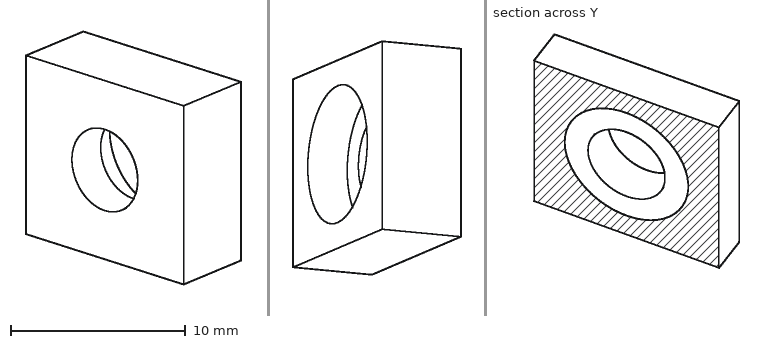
import cadquery as cq

width = 12.0
thickness = 5.0
height = 11.0

bore_diameter = 5.0
counterbore_diameter = 8.0
counterbore_depth = thickness / 2


def make_block():
    """Plain rectangular block centred on the origin."""
    return cq.Workplane("XY").box(width, thickness, height)


def drill_counterbored_hole(body):
    """Drill the central hole along Y, counterbored from the +Y face."""
    rear_face = body.faces(">Y").workplane(centerOption="CenterOfBoundBox")
    return rear_face.cboreHole(bore_diameter, counterbore_diameter, counterbore_depth)


result = drill_counterbored_hole(make_block())